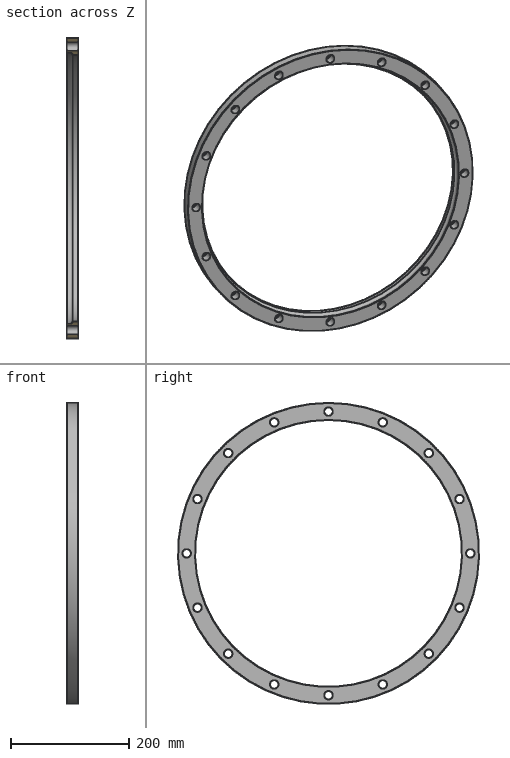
import cadquery as cq

THICKNESS = 20.0
OUTER_RADIUS = 255.0
BORE_RADIUS = 225.4
CORNER_RADIUS = 4.0
RECESS_DEPTH = 10.0
EDGE_CHAMFER = 0.75

BOLT_COUNT = 16
BOLT_CIRCLE_RADIUS = 240.0
BOLT_HOLE_DIAMETER = 14.0

RECESS_RADIUS = BORE_RADIUS + CORNER_RADIUS

FRONT_X = -THICKNESS / 2
BACK_X = THICKNESS / 2
RECESS_FLOOR_X = FRONT_X + RECESS_DEPTH


def ring_body():
    """Revolve the chamfered ring section, drawn as (x, radius), about the X axis."""
    section = (
        cq.Workplane("XZ")
        .moveTo(FRONT_X, OUTER_RADIUS - EDGE_CHAMFER)
        .lineTo(FRONT_X + EDGE_CHAMFER, OUTER_RADIUS)
        .lineTo(BACK_X - EDGE_CHAMFER, OUTER_RADIUS)
        .lineTo(BACK_X, OUTER_RADIUS - EDGE_CHAMFER)
        .lineTo(BACK_X, BORE_RADIUS + EDGE_CHAMFER)
        .lineTo(BACK_X - EDGE_CHAMFER, BORE_RADIUS)
        .lineTo(RECESS_FLOOR_X, BORE_RADIUS)
        .radiusArc((RECESS_FLOOR_X - CORNER_RADIUS, RECESS_RADIUS), -CORNER_RADIUS)
        .lineTo(FRONT_X + EDGE_CHAMFER, RECESS_RADIUS)
        .lineTo(FRONT_X, RECESS_RADIUS + EDGE_CHAMFER)
        .close()
    )
    return section.revolve(360, (0, 0, 0), (1, 0, 0))


def bolt_holes():
    """Through-hole cutters evenly spaced on the bolt circle."""
    return (
        cq.Workplane("YZ", origin=(FRONT_X, 0, 0))
        .polarArray(BOLT_CIRCLE_RADIUS, 0, 360, BOLT_COUNT)
        .circle(BOLT_HOLE_DIAMETER / 2)
        .extrude(THICKNESS)
    )


result = ring_body().cut(bolt_holes())